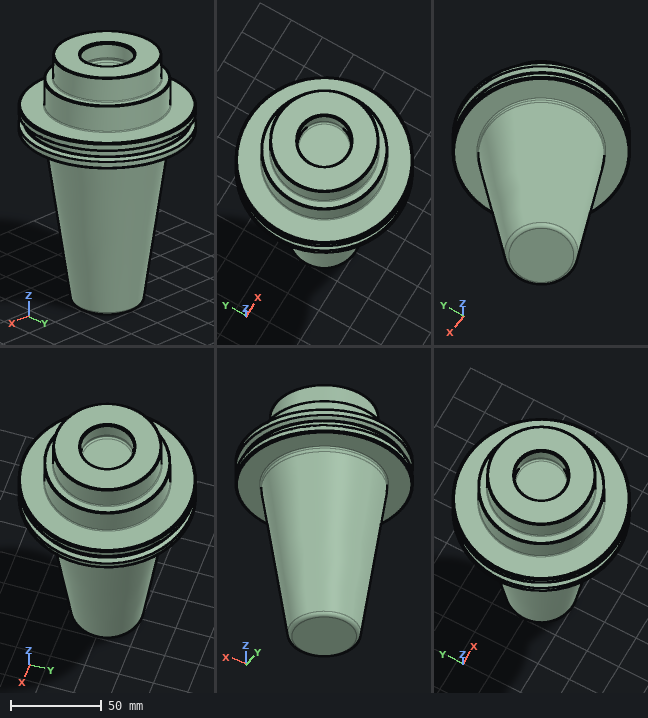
import math

import cadquery as cq

TOP_Z = 50.0
SHOULDER_Z = 35.2
FLANGE_TOP_Z = 19.05
FLANGE_BOTTOM_Z = 3.2
TAPER_END_Z = -101.6

NOSE_RADIUS = 30.0
FLANGE_RADIUS = 98.425 / 2
GAUGE_RADIUS = 69.85 / 2
COLLAR_RADIUS = GAUGE_RADIUS
TAPER_SLOPE = (7 / 24) / 2
TAPER_END_RADIUS = GAUGE_RADIUS + TAPER_END_Z * TAPER_SLOPE

GROOVE_CENTER_Z = (FLANGE_TOP_Z + FLANGE_BOTTOM_Z) / 2
GROOVE_FLOOR_RADIUS = 45.6
GROOVE_FLOOR_WIDTH = 3.8
GROOVE_MOUTH_WIDTH = 7.0
GROOVE_SIDE_ANGLE = 30.0

BORE_RADIUS = 15.0
BORE_DEPTH = 12.0
BORE_CHAMFER_HEIGHT = 1.0
BORE_CHAMFER_ANGLE = 30.0
BORE_CHAMFER_WIDTH = BORE_CHAMFER_HEIGHT * math.tan(math.radians(BORE_CHAMFER_ANGLE))
RELIEF_DEPTH = 0.3
RELIEF_LENGTH = 2.5
RELIEF_SLOPE_ANGLE = 15.0
RELIEF_RADIUS = BORE_RADIUS + RELIEF_DEPTH
RELIEF_FILLET = 1.0

STEP_CHAMFER = 0.5
FLANGE_CHAMFER = 0.8
INNER_FILLET = 0.5
FLANGE_UNDERSIDE_FILLET = 0.8
TAPER_END_FILLET = 2.5

POSITION_TOLERANCE = 0.01


def circles_at(body, places):
    """Select the circular edges at the given (radius, z) places."""

    def is_wanted(edge):
        return any(
            abs(edge.radius() - radius) < POSITION_TOLERANCE
            and abs(edge.Center().z - z) < POSITION_TOLERANCE
            for radius, z in places
        )

    return body.edges("%CIRCLE").filter(is_wanted)


def revolve_profile(profile):
    """Revolve a closed outline of (radius, z) points about the Z axis."""
    return cq.Workplane("XZ").polyline(profile).close().revolve(360, (0, 0), (0, 1))


def make_body():
    """Revolved holder: nose, collar, chamfered flange and taper."""
    profile = [
        (0, TOP_Z),
        (NOSE_RADIUS, TOP_Z),
        (NOSE_RADIUS, SHOULDER_Z),
        (COLLAR_RADIUS, SHOULDER_Z),
        (COLLAR_RADIUS, FLANGE_TOP_Z),
        (FLANGE_RADIUS - FLANGE_CHAMFER, FLANGE_TOP_Z),
        (FLANGE_RADIUS, FLANGE_TOP_Z - FLANGE_CHAMFER),
        (FLANGE_RADIUS, FLANGE_BOTTOM_Z + FLANGE_CHAMFER),
        (FLANGE_RADIUS - FLANGE_CHAMFER, FLANGE_BOTTOM_Z),
        (GAUGE_RADIUS, FLANGE_BOTTOM_Z),
        (GAUGE_RADIUS, 0),
        (TAPER_END_RADIUS, TAPER_END_Z),
        (0, TAPER_END_Z),
    ]
    return revolve_profile(profile)


def make_groove():
    """Ring with a square bottom and sloping sides that cuts the gripper groove."""
    half_floor = GROOVE_FLOOR_WIDTH / 2
    half_mouth = GROOVE_MOUTH_WIDTH / 2
    side_depth = (half_mouth - half_floor) / math.tan(math.radians(GROOVE_SIDE_ANGLE))
    side_end_radius = FLANGE_RADIUS - side_depth
    profile = [
        (GROOVE_FLOOR_RADIUS, GROOVE_CENTER_Z - half_floor),
        (side_end_radius, GROOVE_CENTER_Z - half_floor),
        (FLANGE_RADIUS, GROOVE_CENTER_Z - half_mouth),
        (FLANGE_RADIUS, GROOVE_CENTER_Z + half_mouth),
        (side_end_radius, GROOVE_CENTER_Z + half_floor),
        (GROOVE_FLOOR_RADIUS, GROOVE_CENTER_Z + half_floor),
    ]
    return revolve_profile(profile)


def make_bore():
    """Blind bore with a chamfered rim and a relief groove above its floor."""
    floor_z = TOP_Z - BORE_DEPTH
    relief_top_z = floor_z + RELIEF_LENGTH
    slope_height = RELIEF_DEPTH / math.tan(math.radians(RELIEF_SLOPE_ANGLE))
    profile = [
        (0, TOP_Z),
        (BORE_RADIUS + BORE_CHAMFER_WIDTH, TOP_Z),
        (BORE_RADIUS, TOP_Z - BORE_CHAMFER_HEIGHT),
        (BORE_RADIUS, relief_top_z),
        (RELIEF_RADIUS, relief_top_z - slope_height),
        (RELIEF_RADIUS, floor_z),
        (0, floor_z),
    ]
    bore = revolve_profile(profile)
    return circles_at(bore, [(RELIEF_RADIUS, floor_z)]).fillet(RELIEF_FILLET)


def finish_edges(body):
    """Chamfer the nose and collar rims and round the inner corners and the taper end."""
    stepped_rims = [(NOSE_RADIUS, TOP_Z), (COLLAR_RADIUS, SHOULDER_Z)]
    inner_corners = [(NOSE_RADIUS, SHOULDER_Z), (COLLAR_RADIUS, FLANGE_TOP_Z)]
    flange_underside = [(GAUGE_RADIUS, FLANGE_BOTTOM_Z)]
    taper_end = [(TAPER_END_RADIUS, TAPER_END_Z)]

    body = circles_at(body, stepped_rims).chamfer(STEP_CHAMFER)
    body = circles_at(body, inner_corners).fillet(INNER_FILLET)
    body = circles_at(body, flange_underside).fillet(FLANGE_UNDERSIDE_FILLET)
    return circles_at(body, taper_end).fillet(TAPER_END_FILLET)


blank = make_body().cut(make_groove())
result = finish_edges(blank).cut(make_bore())